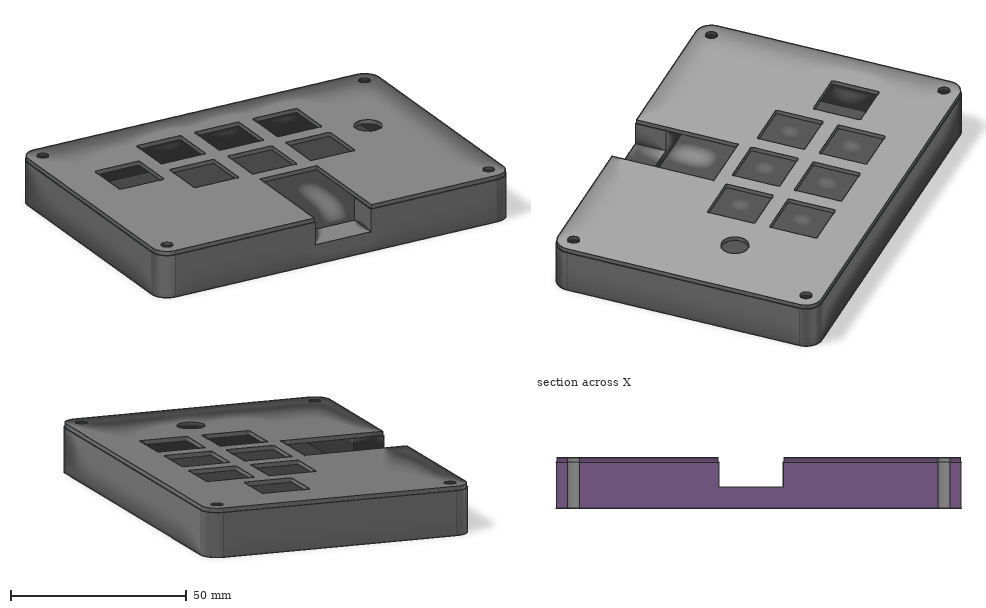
import cadquery as cq

LENGTH_X = 81.4
LENGTH_Y = 115.6
HEIGHT = 14.5
CORNER_RADIUS = 5.0

LID_THICKNESS = 1.3
LID_INSET = 0.2
CASE_HEIGHT = HEIGHT - LID_THICKNESS

WALL = 9.4
FLOOR_THICKNESS = 3.8

SCREW_DIAMETER = 3.4
SCREW_SPACING_X = LENGTH_X - 2 * CORNER_RADIUS
SCREW_SPACING_Y = LENGTH_Y - 2 * CORNER_RADIUS

KEY_PITCH = 19.1
KEY_SIZE = 14.6
KEY_CORNER_RADIUS = 0.5
KEY_BLOCK_X = -11.6
KEY_ROWS = (1, 0, -1)
KEY_COLUMNS = (-0.5, 0.5)
THUMB_ROW = -2

BUTTON_DIAMETER = 8.0
BUTTON_X = -8.0
BUTTON_Y = 2 * KEY_PITCH

NOTCH_LEFT = 9.1
NOTCH_TOP = 11.6
NOTCH_BOTTOM = -7.2
NOTCH_WIDTH_Y = NOTCH_TOP - NOTCH_BOTTOM
NOTCH_CENTRE_Y = (NOTCH_TOP + NOTCH_BOTTOM) / 2
SILL_HEIGHT = 6.1


def rounded_plate(length_x, length_y, height, radius):
    """Flat block with rounded vertical edges, standing on z = 0."""
    plate = cq.Workplane("XY").box(length_x, length_y, height, centered=(True, True, False))
    return plate.edges("|Z").fillet(radius)


def drill_screw_holes(body):
    """Drill the four corner holes right through a body."""
    return (
        body.faces(">Z")
        .workplane(origin=(0, 0, 0))
        .rect(SCREW_SPACING_X, SCREW_SPACING_Y, forConstruction=True)
        .vertices()
        .hole(SCREW_DIAMETER)
    )


def notch_cutter(left, base, height, clearance):
    """Block that opens the +X side, narrowed by a clearance at each end."""
    length = LENGTH_X / 2 - left
    return (
        cq.Workplane("XY")
        .box(length, NOTCH_WIDTH_Y - 2 * clearance, height, centered=(False, True, False))
        .translate((left, NOTCH_CENTRE_Y, base))
    )


def key_centres():
    """Two columns of three keys, with one thumb key centred below them."""
    centres = [
        (KEY_BLOCK_X + column * KEY_PITCH, row * KEY_PITCH)
        for row in KEY_ROWS
        for column in KEY_COLUMNS
    ]
    centres.append((KEY_BLOCK_X, THUMB_ROW * KEY_PITCH))
    return centres


def make_case():
    """Open tray with thick walls and a sill cut into its +X wall."""
    case = rounded_plate(LENGTH_X, LENGTH_Y, CASE_HEIGHT, CORNER_RADIUS)
    cavity_height = CASE_HEIGHT - FLOOR_THICKNESS
    cavity = cq.Workplane("XY").box(
        LENGTH_X - 2 * WALL, LENGTH_Y - 2 * WALL, cavity_height, centered=(True, True, False)
    )
    case = case.cut(cavity.translate((0, 0, FLOOR_THICKNESS)))
    wall_inner_x = LENGTH_X / 2 - WALL
    case = case.cut(notch_cutter(wall_inner_x, SILL_HEIGHT, CASE_HEIGHT - SILL_HEIGHT, LID_INSET))
    return drill_screw_holes(case)


def make_lid():
    """Thin plate with key windows, a button hole and the side notch."""
    lid = rounded_plate(
        LENGTH_X - 2 * LID_INSET, LENGTH_Y - 2 * LID_INSET, LID_THICKNESS, CORNER_RADIUS - LID_INSET
    )
    lid = drill_screw_holes(lid)
    for x, y in key_centres():
        window = rounded_plate(KEY_SIZE, KEY_SIZE, LID_THICKNESS, KEY_CORNER_RADIUS)
        lid = lid.cut(window.translate((x, y, 0)))
    button = cq.Workplane("XY").circle(BUTTON_DIAMETER / 2).extrude(LID_THICKNESS)
    lid = lid.cut(button.translate((BUTTON_X, BUTTON_Y, 0)))
    lid = lid.cut(notch_cutter(NOTCH_LEFT, 0, LID_THICKNESS, 0))
    return lid.translate((0, 0, CASE_HEIGHT))


case = make_case()
lid = make_lid()
result = cq.Compound.makeCompound([case.val(), lid.val()])